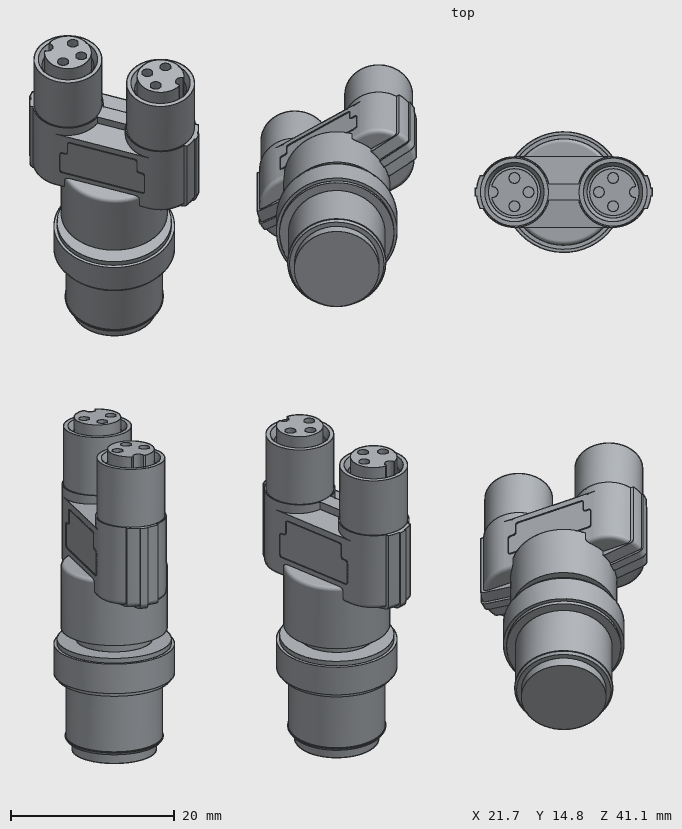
import cadquery as cq
import math

nose_radius = 5.18
nose_top = 1.35
lip_base_radius = 5.75
lip_radius = 6.0
lip_taper_top = 1.7
lip_top = 1.8
barrel_radius = 5.9
flange_radius = 7.0
flange_bottom = 9.4
flange_top = 14.35
collar_radius = 14.75 / 2
collar_bottom = 9.9
collar_top = 13.73
neck_radius = 4.7
hub_radius = 6.5
hub_bottom = 15.82
hub_top = 24.2
hub_fillet = 0.5

socket_spacing = 12.05
socket_offset = socket_spacing / 2
body_radius = 4.3
body_bottom = 22.28
body_top = 32.43
body_fillet = 0.55
ridge_width = 1.97
saddle_ridge_z = 31.4
saddle_edge_z = 31.15

plate_start = 3.3
tab_radius = 4.65
tab_width = 4.03
tab_bottom = 21.55
tab_corner = 0.55
overall_length = 21.65
rib_reach = overall_length / 2
rib_width = 1.0
rib_bottom = 21.15
rib_corner = 0.82
underside_slope = math.radians(10)

label_depth = 0.12
label_corner = 0.33
label_bottom = 24.85
label_shoulder = 28.15
label_top = 30.2
label_width = 11.0
label_upper_width = 9.05

tube_radius = 4.15
tube_top = 39.95
mouth_radius = 3.6
gap_radius = 3.15
flare_depth = 1.03
mouth_depth = 3.3
core_radius = 5.7 / 2
core_top = 41.1
contact_radius = 0.65
contact_offset = 1.73
contact_depth = 4.1
key_radius = 0.65
key_offset = 2.67
key_flat_width = 1.8


def disc(radius, bottom, top, x=0):
    return cq.Workplane("XY", origin=(x, 0, bottom)).circle(radius).extrude(top - bottom)


def make_plug():
    profile = [
        (0, 0),
        (nose_radius, 0),
        (nose_radius, nose_top),
        (lip_base_radius, nose_top),
        (lip_radius, lip_taper_top),
        (lip_radius, lip_top),
        (barrel_radius, lip_top),
        (barrel_radius, flange_bottom),
        (flange_radius, flange_bottom),
        (flange_radius, collar_bottom),
        (collar_radius, collar_bottom),
        (collar_radius, collar_top),
        (flange_radius, collar_top),
        (flange_radius, flange_top),
        (neck_radius, flange_top),
        (neck_radius, hub_bottom),
        (0, hub_bottom),
    ]
    turned = cq.Workplane("XZ").polyline(profile).close().revolve(360, (0, 0), (0, 1))
    hub = disc(hub_radius, hub_bottom, hub_top).faces(">Z").edges().fillet(hub_fillet)
    return turned.union(hub)


def make_roof():
    """Sloped top of the web between the sockets, with its central ridge."""
    half_ridge = ridge_width / 2
    profile = [
        (-body_radius, saddle_edge_z),
        (body_radius, saddle_edge_z),
        (half_ridge, saddle_ridge_z),
        (half_ridge, body_top),
        (-half_ridge, body_top),
        (-half_ridge, saddle_ridge_z),
    ]
    return cq.Workplane("YZ").polyline(profile).close().extrude(socket_offset, both=True)


def make_web():
    web = (
        cq.Workplane("XY", origin=(0, 0, body_bottom))
        .slot2D(2 * (socket_offset + body_radius), 2 * body_radius)
        .extrude(saddle_edge_z - body_bottom)
        .faces("<Z").edges().fillet(body_fillet)
    )
    return web.union(make_roof())


def make_end_plate(reach, width, bottom):
    """Plate on the +X end whose underside rises outward from the hub."""
    outer_bottom = bottom + (reach - hub_radius) * math.tan(underside_slope)
    profile = [
        (plate_start, body_top),
        (plate_start, bottom),
        (hub_radius, bottom),
        (reach, outer_bottom),
        (reach, body_top),
    ]
    return cq.Workplane("XZ").polyline(profile).close().extrude(width / 2, both=True)


def make_tab_and_rib():
    tab = make_end_plate(socket_offset + tab_radius, tab_width, tab_bottom)
    rounding = disc(tab_radius, 0, body_top, socket_offset)
    inner_part = cq.Workplane("XY").box(2 * socket_offset, tab_width, 2 * body_top)
    tab = tab.intersect(rounding.union(inner_part))
    tab = tab.faces(">X").edges("<Z").fillet(tab_corner)
    rib = make_end_plate(rib_reach, rib_width, rib_bottom)
    rib = rib.faces(">X").edges("<Z").fillet(rib_corner)
    return tab.union(rib)


def make_label():
    """Stepped label outline, sunk into the -Y face."""
    half = label_width / 2
    upper_half = label_upper_width / 2
    outline = [
        (-half, label_bottom),
        (half, label_bottom),
        (half, label_shoulder),
        (upper_half, label_shoulder),
        (upper_half, label_top),
        (-upper_half, label_top),
        (-upper_half, label_shoulder),
        (-half, label_shoulder),
    ]
    label = cq.Workplane("XZ", origin=(0, label_depth - body_radius, 0)).polyline(outline).close()
    return label.extrude(label_depth).edges("|Y").fillet(label_corner)


def make_socket():
    """Socket on the +X side, keyed toward +X."""
    mouth_floor = tube_top - mouth_depth
    mouth_profile = [
        (0, mouth_floor),
        (gap_radius, mouth_floor),
        (gap_radius, tube_top - flare_depth),
        (mouth_radius, tube_top),
        (0, tube_top),
    ]
    mouth = (
        cq.Workplane("XZ", origin=(socket_offset, 0, 0))
        .polyline(mouth_profile).close()
        .revolve(360, (0, 0), (0, 1))
    )
    tube = disc(tube_radius, body_top, tube_top, socket_offset).cut(mouth)
    core = disc(core_radius, body_top, core_top, socket_offset)
    contacts = [(-contact_offset, 0), (0, contact_offset), (0, -contact_offset)]
    for x, y in contacts:
        hole = disc(contact_radius, core_top - contact_depth, core_top, socket_offset + x)
        core = core.cut(hole.translate((0, y, 0)))
    flat_distance = math.sqrt(core_radius**2 - (key_flat_width / 2) ** 2)
    flat_x = socket_offset + flat_distance
    flat = (
        cq.Workplane("XY", origin=(flat_x, 0, mouth_floor))
        .box(core_radius, 2 * core_radius, core_top - mouth_floor, centered=(False, True, False))
    )
    core = core.cut(flat)
    core = core.cut(disc(key_radius, mouth_floor, core_top, socket_offset + key_offset))
    return tube.union(core)


def make_arm():
    """Round shoulder, tab, rib and socket of the +X side."""
    shoulder = disc(body_radius, saddle_edge_z, body_top, socket_offset)
    return shoulder.union(make_tab_and_rib()).union(make_socket())


arm = make_arm()
label = make_label()
result = make_plug().union(make_web())
result = result.union(arm).union(arm.mirror("YZ"))
result = result.cut(label).cut(label.mirror("XZ"))